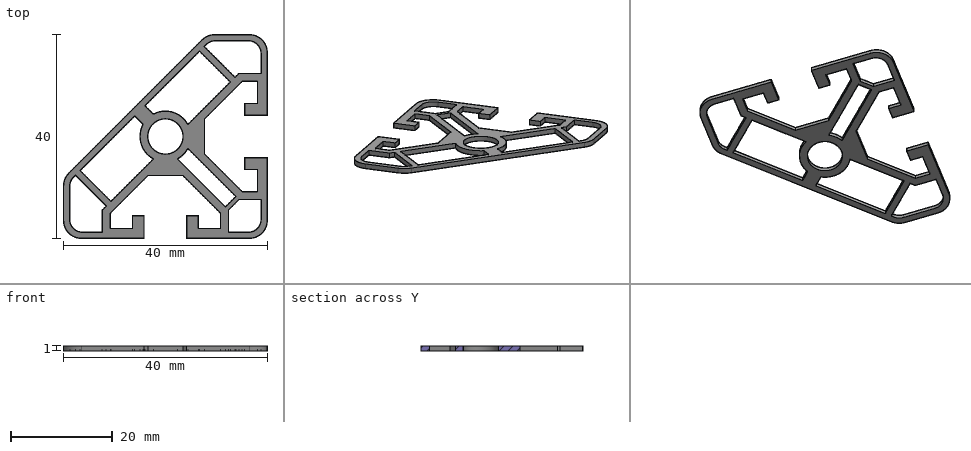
import cadquery as cq
import math

size = 40.0
thickness = 1.0
half = size / 2
root2 = math.sqrt(2)

wall = 1.25
outer_radius = 3.5
inner_radius = 2.5
slant_distance = 8.3

bore_radius = 3.45
tube_radius = 5.0

mouth_half = 4.15
mouth_depth = 4.5
lip_inner = 6.5
lip_wall = 1.95
slot_half = 10.8
slot_floor = 7.7
flank_offset = 3.0

cell_edge = 12.4
gap_half = 1.45
chamber_end = 16.55
tip_cell_start = 17.9
diagonal_slot_end = 18.1
square_cell_start = 18.95


def prism(points):
    return cq.Workplane("XY").polyline(points).close().extrude(thickness)


def block(x_min, x_max, y_min, y_max):
    corners = [(x_min, y_min), (x_max, y_min), (x_max, y_max), (x_min, y_max)]
    return prism(corners)


def diagonal_block(along_min, along_max, across_min, across_max):
    """Block whose length runs along y = x; across is positive to the upper left."""
    straight = block(along_min, along_max, across_min, across_max)
    return straight.rotate((0, 0, 0), (0, 0, 1), 45)


def disc(radius):
    return cq.Workplane("XY").circle(radius).extrude(thickness)


def mirrored(shape):
    """Reflect across the diagonal y = -x."""
    return shape.mirror("YZ").rotate((0, 0, 0), (0, 0, 1), 90)


def rounded_outline(reach, slant, radius):
    """Square reaching a given distance, cut at its upper left corner and rounded."""
    cut = slant * root2 - reach
    points = [(-reach, -reach), (reach, -reach), (reach, reach), (-cut, reach), (-reach, cut)]
    return prism(points).edges("|Z").fillet(radius)


def t_slot():
    """Cavity opening through the +X side."""
    inner = half - lip_wall
    flank = flank_offset * root2
    upper_half = [
        (slot_floor, slot_floor - flank),
        (slot_half + flank, slot_half),
        (inner, slot_half),
        (inner, lip_inner),
        (half - mouth_depth, lip_inner),
        (half - mouth_depth, mouth_half),
        (half, mouth_half),
    ]
    lower_half = [(x, -y) for x, y in reversed(upper_half)]
    return prism(upper_half + lower_half)


cavity = rounded_outline(half - wall, slant_distance - wall, inner_radius)

chamber = diagonal_block(gap_half, chamber_end, -gap_half, slant_distance - wall)
chamber = chamber.cut(disc(tube_radius))

tip_cell = block(0, half, cell_edge, half)
tip_cell = tip_cell.intersect(diagonal_block(tip_cell_start, size, -half, half))
tip_cell = tip_cell.union(diagonal_block(tip_cell_start, size, -gap_half, half))
tip_cell = tip_cell.intersect(cavity)

square_cell = cavity.intersect(block(cell_edge, half, -half, -cell_edge))
square_cell = square_cell.intersect(diagonal_block(-half, half, -size, -square_cell_start))

diagonal_slot = diagonal_block(-gap_half, gap_half, -diagonal_slot_end, 0)
diagonal_slot = diagonal_slot.cut(disc(tube_radius))

result = rounded_outline(half, slant_distance, outer_radius)
for opening in (chamber, tip_cell, t_slot()):
    result = result.cut(opening).cut(mirrored(opening))
for opening in (square_cell, diagonal_slot, disc(bore_radius)):
    result = result.cut(opening)